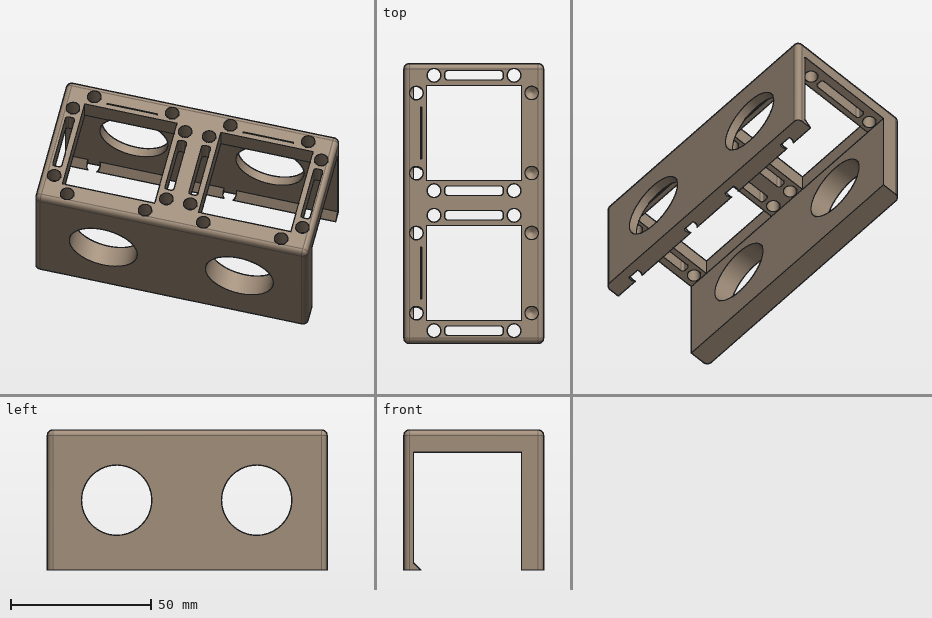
import cadquery as cq

width = 50.0
length = 100.0
height = 50.1
edge_radius = 2.0

roof_thickness = 8.0
left_wall = 3.5
right_wall = 8.0

hook_reach = 2.7
clearance_half_spacing = 14.4

module_pitch = length / 2
module_centres = (-module_pitch / 2, module_pitch / 2)

pattern_shift_x = 0.1
pattern_shift_y = 0.2

window_side = 33.9
port_diameter = 25.0
port_height = 25.0
pin_diameter = 4.8
pin_offset = 20.6
pin_half_spacing = 14.3
slot_length = 20.8
slot_width = 3.3
slot_corner = 1.0
slit_length = 18.5
slit_width = 0.3
slit_offset = 18.9

blind_depth = 8.0
cone_height = 1.4

inner_left = -width / 2 + left_wall
inner_right = width / 2 - right_wall
roof_underside = height - roof_thickness


def make_channel():
    """Rounded block with the inside of the U removed."""
    block = cq.Workplane("XY").box(width, length, height, centered=(True, True, False))
    block = block.edges("|Z or >Z").fillet(edge_radius)
    inside = (
        cq.Workplane("XY")
        .box(inner_right - inner_left, length, roof_underside, centered=(False, True, False))
        .translate((inner_left, 0, 0))
    )
    return block.cut(inside)


def make_hook():
    """Full-length triangular ledge on the thin wall, with its pin clearances."""
    hook = (
        cq.Workplane("XZ", origin=(inner_left, -length / 2, 0))
        .polyline([(0, 0), (hook_reach, 0), (0, hook_reach)])
        .close()
        .extrude(-length)
    )
    clearance_points = [
        (-pin_offset, centre_y + side * clearance_half_spacing)
        for centre_y in module_centres
        for side in (-1, 1)
    ]
    clearances = (
        cq.Workplane("XY")
        .pushPoints(clearance_points)
        .circle(pin_diameter / 2)
        .extrude(hook_reach)
    )
    return hook.cut(clearances)


def roof_prism(size_x, size_y, x, y):
    """Rectangular cutter passing through the roof."""
    return (
        cq.Workplane("XY")
        .box(size_x, size_y, roof_thickness, centered=(True, True, False))
        .translate((x, y, roof_underside))
    )


def make_through_hole(x, y):
    """Cylinder passing through the roof."""
    return (
        cq.Workplane("XY", origin=(x, y, roof_underside))
        .circle(pin_diameter / 2)
        .extrude(roof_thickness)
    )


def make_blind_hole(x, y):
    """Cylinder with a conical bottom, sunk from the roof."""
    radius = pin_diameter / 2
    return (
        cq.Workplane("XZ", origin=(x, y, height))
        .polyline([(0, 0), (radius, 0), (radius, -blind_depth), (0, -blind_depth - cone_height)])
        .close()
        .revolve(360, (0, 0, 0), (0, 1, 0))
    )


def cut_port(body, centre_y):
    """Bore one round port through both side walls."""
    port = (
        cq.Workplane("YZ", origin=(-width / 2, centre_y, port_height))
        .circle(port_diameter / 2)
        .extrude(width)
    )
    return body.cut(port)


def cut_roof(body, centre_x, centre_y):
    """Cut the window, slots, pin holes and slit of one module."""
    body = body.cut(roof_prism(window_side, window_side, centre_x, centre_y))

    slit_x = centre_x - slit_offset
    body = body.cut(roof_prism(slit_width, slit_length, slit_x, centre_y))

    for side in (-1, 1):
        row_x = centre_x + side * pin_offset
        row_y = centre_y + side * pin_offset
        slot = roof_prism(slot_length, slot_width, centre_x, row_y)
        body = body.cut(slot.edges("|Z").fillet(slot_corner))
        for end in (-1, 1):
            pin_x = centre_x + end * pin_half_spacing
            pin_y = centre_y + end * pin_half_spacing
            body = body.cut(make_through_hole(pin_x, row_y))
            body = body.cut(make_blind_hole(row_x, pin_y))
    return body


result = make_channel().union(make_hook())
for module_y in module_centres:
    result = cut_port(result, module_y + pattern_shift_y)
    result = cut_roof(result, pattern_shift_x, module_y + pattern_shift_y)